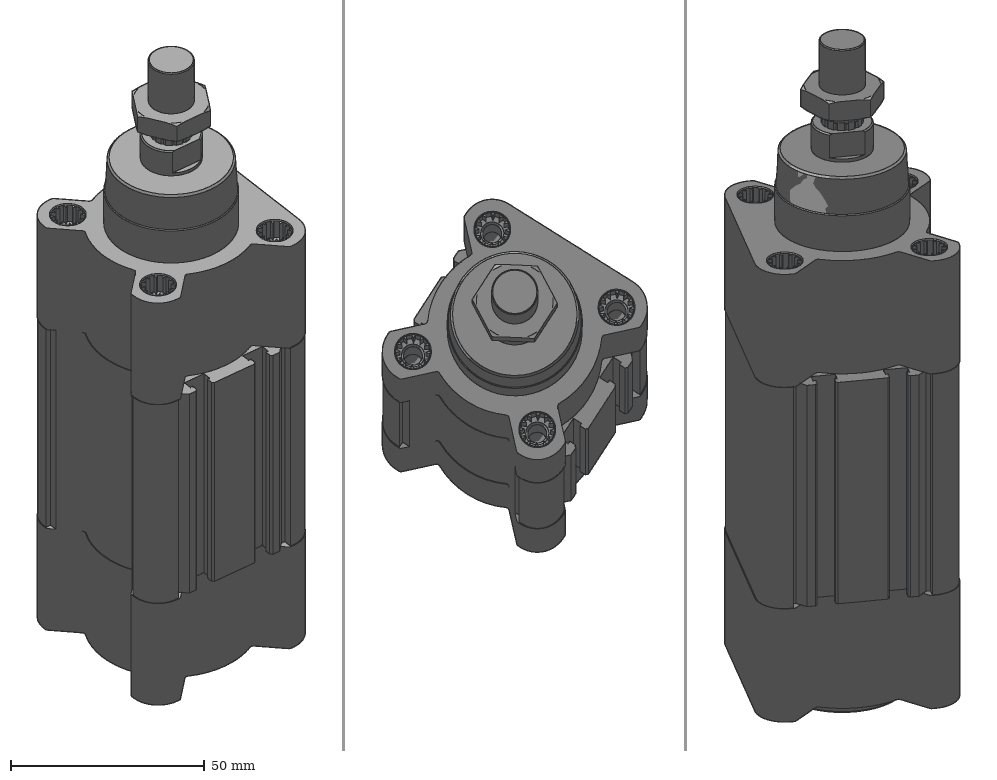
import cadquery as cq
import math

TOTAL_HEIGHT = 186.9
REAR_BOSS_HEIGHT = 4.1
CAP_HEIGHT = 32.9
TUBE_HEIGHT = 64.3
COLLAR_HEIGHT = 10.7
TAPER_HEIGHT = 10.5
rear_cap_bottom = REAR_BOSS_HEIGHT
tube_bottom = rear_cap_bottom + CAP_HEIGHT
front_cap_bottom = tube_bottom + TUBE_HEIGHT
front_cap_top = front_cap_bottom + CAP_HEIGHT
collar_top = front_cap_top + COLLAR_HEIGHT
housing_top = collar_top + TAPER_HEIGHT

HOUSING_WIDTH = 54.0
HOLE_SPACING = 38.1
LOBE_RIB_WIDTH = 12.9
CAP_BARREL_RADIUS = 22.6
LOBE_FILLET = 1.0
LOBE_CORNER_FILLET = 1.0
hole_offset = HOLE_SPACING / 2
cap_lobe_radius = HOUSING_WIDTH / 2 - hole_offset

TUBE_WIDTH = 53.5
TUBE_LOBE_RADIUS = 7.3
TUBE_BARREL_RADIUS = 22.5
SLOT_FLOOR = 22.0
RAIL_HALF_WIDTH = 7.1
SLOT_MOUTH = 4.9
SLOT_UNDERCUT = 0.7
SLOT_LIP = 2.2
SLOT_MOUTH_CHAMFER = 0.5
NOTCH_START = 14.8
NOTCH_DEPTH = 2.5
LOBE_WALL = 18.3
LOBE_STEP_DEPTH = 1.5
LOBE_STEP_WIDTH = 4.5
tube_half_width = TUBE_WIDTH / 2

COLLAR_DIAMETER = 35.0
TAPER_BASE_DIAMETER = 34.4
TAPER_TOP_DIAMETER = 33.3
BOSS_EDGE = 0.5

TOOTH_COUNT = 12
TOOTH_LAND_SHARE = 0.6

HOLE_MOUTH_DIAMETER = 9.5
SOCKET_DIAMETER = 9.0
SOCKET_TOOTH_DIAMETER = 6.7
SOCKET_DEPTH = 5.6
CORE_MOUTH_DIAMETER = 6.0
CORE_DIAMETER = 4.9
CORE_DEPTH = 16.8

ROD_DIAMETER = 16.0
FLAT_WIDTH = 13.0
FLAT_START = 1.0
ROD_SHOULDER = 163.2
ROD_EDGE = 0.4
THREAD_DIAMETER = 12.0
THREAD_END_DIAMETER = 11.4
NECK_LAND_DIAMETER = 11.0
NECK_GROOVE_DIAMETER = 10.3
RUNOUT_DIAMETER = 10.7
NECK_LENGTH = 1.9
THREAD_RUNOUT = 1.9

NUT_FLATS = 19.0
NUT_BOTTOM = 168.2
NUT_HEIGHT = 5.6
NUT_FACE_DIAMETER = 19.8
NUT_BEVEL_HEIGHT = 0.4


def box_between(x_low, x_high, y_low, y_high, bottom, height):
    """A box with its sides on the given coordinates."""
    return (
        cq.Workplane("XY", origin=((x_low + x_high) / 2, (y_low + y_high) / 2, bottom))
        .rect(x_high - x_low, y_high - y_low)
        .extrude(height)
    )


def revolved(half_profile):
    """Solid of revolution about Z from (radius, height) points."""
    return cq.Workplane("XZ").polyline(half_profile).close().revolve(360, (0, 0, 0), (0, 1, 0))


def toothed_prism(land_diameter, groove_diameter, bottom, height):
    """Prism with flat-topped teeth parted by V grooves, one groove on the +X axis."""
    pitch = 2 * math.pi / TOOTH_COUNT
    half_groove = pitch * (1 - TOOTH_LAND_SHARE) / 2
    points = []
    for tooth in range(TOOTH_COUNT):
        groove_angle = tooth * pitch
        for diameter, angle in (
            (groove_diameter, groove_angle),
            (land_diameter, groove_angle + half_groove),
            (land_diameter, groove_angle + pitch - half_groove),
        ):
            points.append((diameter / 2 * math.cos(angle), diameter / 2 * math.sin(angle)))
    return cq.Workplane("XY", origin=(0, 0, bottom)).polyline(points).close().extrude(height)


def lobed_body(width, lobe_radius, barrel_radius, bottom, height):
    """Barrel with four diagonal lobes, filled between the two lobes on the +Y side."""
    half = width / 2
    base = cq.Workplane("XY", origin=(0, 0, bottom))
    ribs = base.circle(barrel_radius).extrude(height)
    for angle in (45, 135):
        rib = base.transformed(rotate=(0, 0, angle)).rect(2 * width, LOBE_RIB_WIDTH).extrude(height)
        ribs = ribs.union(rib)
    back_fill = base.polyline([(0, 0), (half, half), (-half, half)]).close().extrude(height)
    barrel_corners = cq.selectors.BoxSelector(
        (-barrel_radius, -barrel_radius, bottom),
        (barrel_radius, barrel_radius, bottom + height),
    )
    ribs = ribs.union(back_fill).edges("|Z").edges(barrel_corners).fillet(LOBE_FILLET)
    outline = base.rect(width, width).extrude(height).edges("|Z").fillet(lobe_radius)
    return round_lobe_corners(ribs.intersect(outline), half, bottom + height / 2)


def round_lobe_corners(body, half, middle):
    """Round the edges where the sides of the diagonal ribs meet the square outline."""
    corner = half - LOBE_RIB_WIDTH / math.sqrt(2)
    spots = [(x, y) for x in (-half, half) for y in (-corner, corner)]
    spots += [(x, -half) for x in (-corner, corner)]
    for x, y in spots:
        body = body.edges(cq.selectors.NearestToPointSelector((x, y, middle))).fillet(LOBE_CORNER_FILLET)
    return body


def slot_cutter():
    """T-slot beside the centre rail of the -X side."""
    mouth_low = RAIL_HALF_WIDTH
    mouth_high = mouth_low + SLOT_MOUTH
    chamfer_x = SLOT_MOUTH_CHAMFER - tube_half_width
    lip_x = SLOT_LIP - tube_half_width
    outline = [
        (-tube_half_width, mouth_low - SLOT_MOUTH_CHAMFER),
        (chamfer_x, mouth_low),
        (lip_x, mouth_low),
        (lip_x, mouth_low - SLOT_UNDERCUT),
        (-SLOT_FLOOR, mouth_low - SLOT_UNDERCUT),
        (-SLOT_FLOOR, mouth_high + SLOT_UNDERCUT),
        (lip_x, mouth_high + SLOT_UNDERCUT),
        (lip_x, mouth_high),
        (chamfer_x, mouth_high),
        (-tube_half_width, mouth_high + SLOT_MOUTH_CHAMFER),
    ]
    return cq.Workplane("XY", origin=(0, 0, tube_bottom)).polyline(outline).close().extrude(TUBE_HEIGHT)


def notch_cutter():
    """Notch between the slot lip and the lobe of the -X side, sloped on the lip side."""
    outline = [
        (-tube_half_width, NOTCH_START),
        (NOTCH_DEPTH - tube_half_width, NOTCH_START + NOTCH_DEPTH),
        (NOTCH_DEPTH - tube_half_width, LOBE_WALL),
        (-tube_half_width, LOBE_WALL),
    ]
    return cq.Workplane("XY", origin=(0, 0, tube_bottom)).polyline(outline).close().extrude(TUBE_HEIGHT)


def make_tube():
    tube = lobed_body(TUBE_WIDTH, TUBE_LOBE_RADIUS, TUBE_BARREL_RADIUS, tube_bottom, TUBE_HEIGHT)
    side_rail = box_between(-tube_half_width, 0, -LOBE_WALL, LOBE_WALL, tube_bottom, TUBE_HEIGHT)
    lobe_step = box_between(
        -LOBE_WALL, LOBE_STEP_WIDTH - LOBE_WALL,
        -tube_half_width, LOBE_STEP_DEPTH - tube_half_width,
        tube_bottom, TUBE_HEIGHT,
    )
    tube = tube.union(side_rail).union(side_rail.mirror("YZ"))
    for cutter in (slot_cutter(), notch_cutter()):
        both_ends = cutter.union(cutter.mirror("XZ"))
        tube = tube.cut(both_ends).cut(both_ends.mirror("YZ"))
    return tube.cut(lobe_step).cut(lobe_step.mirror("YZ"))


def make_collar():
    """Stepped, slightly tapered boss on the front cap."""
    collar_edge = (COLLAR_DIAMETER - TAPER_BASE_DIAMETER) / 2
    return revolved([
        (0, front_cap_top),
        (COLLAR_DIAMETER / 2, front_cap_top),
        (COLLAR_DIAMETER / 2, collar_top - collar_edge),
        (TAPER_BASE_DIAMETER / 2, collar_top),
        (TAPER_TOP_DIAMETER / 2, housing_top - BOSS_EDGE),
        (TAPER_TOP_DIAMETER / 2 - BOSS_EDGE, housing_top),
        (0, housing_top),
    ])


def make_rear_boss():
    boss = cq.Workplane("XY").circle(COLLAR_DIAMETER / 2).extrude(REAR_BOSS_HEIGHT)
    return boss.faces("<Z").edges().chamfer(BOSS_EDGE)


def hole_cutter():
    """Screw hole below Z = 0: bevelled mouth, toothed socket and core hole with a conical bottom."""
    mouth_bevel = (HOLE_MOUTH_DIAMETER - SOCKET_DIAMETER) / 2
    core_bevel = (CORE_MOUTH_DIAMETER - CORE_DIAMETER) / 2
    bore = revolved([
        (0, 0),
        (HOLE_MOUTH_DIAMETER / 2, 0),
        (SOCKET_DIAMETER / 2, -mouth_bevel),
        (CORE_MOUTH_DIAMETER / 2, -mouth_bevel),
        (CORE_MOUTH_DIAMETER / 2, -SOCKET_DEPTH),
        (CORE_DIAMETER / 2, -SOCKET_DEPTH - core_bevel),
        (CORE_DIAMETER / 2, -CORE_DEPTH),
        (0, -CORE_DEPTH - CORE_DIAMETER / 2),
    ])
    return bore.union(toothed_prism(SOCKET_DIAMETER, SOCKET_TOOTH_DIAMETER, -SOCKET_DEPTH, SOCKET_DEPTH))


def make_housing():
    rear_cap = lobed_body(HOUSING_WIDTH, cap_lobe_radius, CAP_BARREL_RADIUS, rear_cap_bottom, CAP_HEIGHT)
    front_cap = lobed_body(HOUSING_WIDTH, cap_lobe_radius, CAP_BARREL_RADIUS, front_cap_bottom, CAP_HEIGHT)
    housing = rear_cap.union(make_tube()).union(front_cap)
    housing = housing.union(make_collar()).union(make_rear_boss())
    for x in (-hole_offset, hole_offset):
        for y in (-hole_offset, hole_offset):
            housing = housing.cut(hole_cutter().translate((x, y, front_cap_top)))
    return housing


def make_rod():
    """Piston rod with wrench flats, a toothed neck and a threaded end."""
    neck_top = ROD_SHOULDER + NECK_LENGTH
    thread_edge = (THREAD_DIAMETER - THREAD_END_DIAMETER) / 2
    shank = revolved([
        (0, housing_top),
        (ROD_DIAMETER / 2, housing_top),
        (ROD_DIAMETER / 2, ROD_SHOULDER - ROD_EDGE),
        (ROD_DIAMETER / 2 - ROD_EDGE, ROD_SHOULDER),
        (0, ROD_SHOULDER),
    ])
    neck = toothed_prism(NECK_LAND_DIAMETER, NECK_GROOVE_DIAMETER, ROD_SHOULDER, NECK_LENGTH + THREAD_RUNOUT)
    thread = revolved([
        (0, neck_top),
        (RUNOUT_DIAMETER / 2, neck_top),
        (THREAD_DIAMETER / 2, neck_top + THREAD_RUNOUT),
        (THREAD_DIAMETER / 2, TOTAL_HEIGHT - thread_edge),
        (THREAD_END_DIAMETER / 2, TOTAL_HEIGHT),
        (0, TOTAL_HEIGHT),
    ])
    flat_bottom = housing_top + FLAT_START
    flat = box_between(
        FLAT_WIDTH / 2, ROD_DIAMETER, -ROD_DIAMETER, ROD_DIAMETER, flat_bottom, ROD_SHOULDER - flat_bottom
    )
    return shank.cut(flat).cut(flat.mirror("YZ")).union(neck).union(thread)


def make_nut():
    """Hexagon nut with two of its flats facing along X and bevelled corners."""
    corner_diameter = NUT_FLATS / math.cos(math.pi / 6)
    hexagon = (
        cq.Workplane("XY", origin=(0, 0, NUT_BOTTOM))
        .transformed(rotate=(0, 0, 30))
        .polygon(6, corner_diameter)
        .circle(THREAD_DIAMETER / 2)
        .extrude(NUT_HEIGHT)
    )
    nut_top = NUT_BOTTOM + NUT_HEIGHT
    bevels = revolved([
        (0, NUT_BOTTOM),
        (NUT_FACE_DIAMETER / 2, NUT_BOTTOM),
        (corner_diameter / 2, NUT_BOTTOM + NUT_BEVEL_HEIGHT),
        (corner_diameter / 2, nut_top - NUT_BEVEL_HEIGHT),
        (NUT_FACE_DIAMETER / 2, nut_top),
        (0, nut_top),
    ])
    return hexagon.intersect(bevels)


housing = make_housing().solids()
rod = make_rod().solids()
nut = make_nut().solids()
result = cq.Compound.makeCompound([housing.val(), rod.val(), nut.val()])